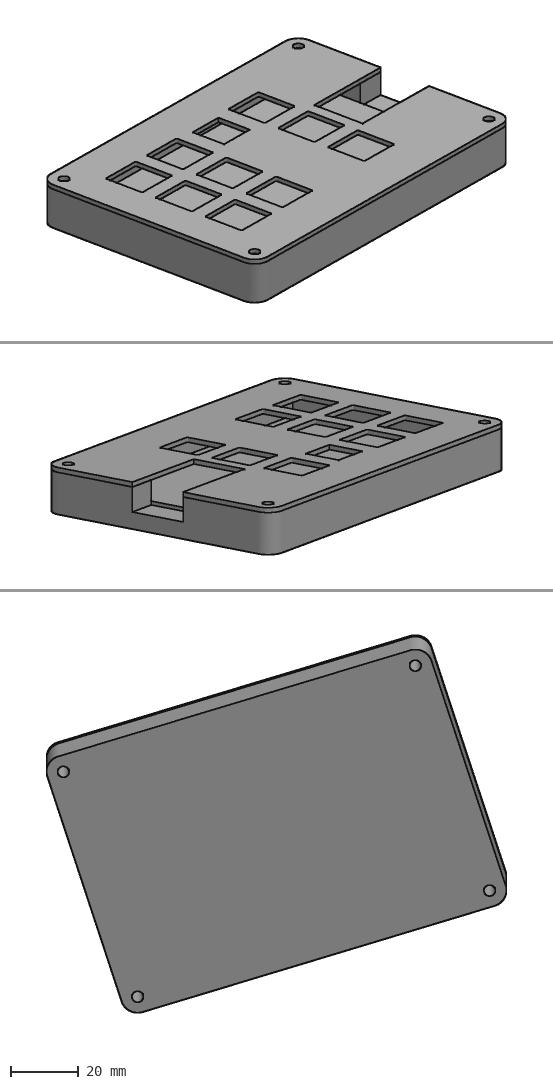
import cadquery as cq

pad_width = 83.02
pad_length = 119.22
pad_height = 14.49
corner_radius = 5.0

plate_thickness = 1.5
board_thickness = 1.2
case_height = pad_height - plate_thickness
cavity_floor = 5.3

screw_diameter = 3.4
screw_spacing_x = pad_width - 2 * corner_radius
screw_spacing_y = pad_length - 2 * corner_radius

notch_width = 18.5
notch_length = 31.0
notch_x = 0.2

key_pitch = 19.05
key_size = 14.0
encoder_size = 12.0
grid_x = -1.0
grid_y = -1.6
key_columns = (-1, 0, 1)
key_rows = (-2, -1, 1)
encoder_column = -1
encoder_row = 0
encoder_shift_x = 0.2
key_corner_radius = 0.4

end_wall = 9.5
board_width = 62.8
board_length = pad_length - 2 * end_wall


def block(width, length, bottom, top):
    """Box centred on X and Y between two heights."""
    box = cq.Workplane("XY").workplane(offset=bottom).rect(width, length)
    return box.extrude(top - bottom)


def rounded_slab(bottom, top):
    """Full outline of the pad with rounded corners and the four screw holes."""
    slab = block(pad_width, pad_length, bottom, top).edges("|Z").fillet(corner_radius)
    screws = (
        cq.Workplane("XY")
        .workplane(offset=bottom)
        .rect(screw_spacing_x, screw_spacing_y, forConstruction=True)
        .vertices()
        .circle(screw_diameter / 2)
        .extrude(top - bottom)
    )
    return slab.cut(screws)


def controller_notch():
    """Opening through the +Y end, from the cavity floor up."""
    notch_y = (pad_length - notch_length) / 2
    return block(notch_width, notch_length, cavity_floor, pad_height).translate((notch_x, notch_y, 0))


def board_block(top):
    """Block with the board's outline, rising from the cavity floor."""
    return block(board_width, board_length, cavity_floor, top).translate((grid_x, 0, 0))


def window(size):
    """Square cutter through the plate, at the origin."""
    return block(size, size, case_height, pad_height)


def at_grid(shape, column, row):
    """Move a shape to one place of the key grid."""
    return shape.translate((grid_x + column * key_pitch, grid_y + row * key_pitch, 0))


def make_case():
    """Tray with a thick floor, a cavity for the board and a cable gap in its +Y wall."""
    cavity = board_block(case_height)
    return rounded_slab(0, case_height).cut(cavity).cut(controller_notch())


def make_board():
    """Circuit board lying on the cavity floor."""
    return board_block(cavity_floor + board_thickness)


def make_plate():
    """Switch plate that closes the case."""
    plate = rounded_slab(case_height, pad_height).cut(controller_notch())
    key_window = window(key_size).edges("|Z").fillet(key_corner_radius)
    for column in key_columns:
        for row in key_rows:
            plate = plate.cut(at_grid(key_window, column, row))
    encoder_window = window(encoder_size).translate((encoder_shift_x, 0, 0))
    return plate.cut(at_grid(encoder_window, encoder_column, encoder_row))


case = make_case()
board = make_board()
plate = make_plate()

result = cq.Compound.makeCompound([case.val(), board.val(), plate.val()])